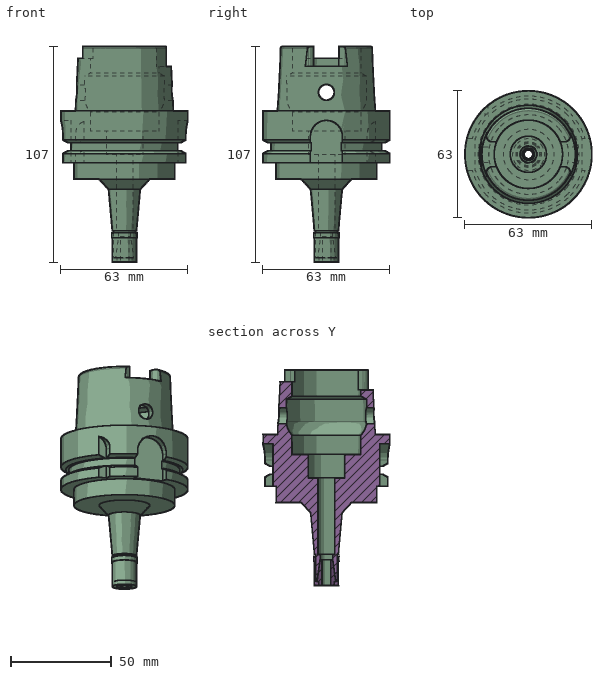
import cadquery as cq
import math


TOTAL_HEIGHT = 107.0
FLANGE_TOP = 75.0
FLANGE_BOTTOM = 49.2
COLLAR_BOTTOM = 41.2
SHOULDER_BOTTOM = 36.2
NOSE_END = 15.5
NUT_TOP = 14.5
NUT_BAND_BOTTOM = 12.2
NUT_LIP = 2.1

SHANK_BASE_DIAMETER = 48.7
SHANK_TAPER = 0.1
SHANK_EDGE_RADIUS = 1.1
FLANGE_DIAMETER = 63.0
COLLAR_DIAMETER = 50.1
SHOULDER_DIAMETER = 25.1
NOSE_ROOT_DIAMETER = 15.8
NOSE_END_DIAMETER = 12.1
NECK_DIAMETER = 11.0

GROOVE_MIDDLE = 57.2
GROOVE_MOUTH = 6.7
GROOVE_SLOPE_HEIGHT = 1.4
GROOVE_SLOPE_DEPTH = 2.5
GROOVE_FLOOR_DIAMETER = 55.1

MOUTH_DIAMETER = 33.9
MOUTH_DEPTH = 13.1
CHAMBER_DIAMETER = 39.6
CHAMBER_ROOF_DROP = 1.6
CHAMBER_WALL_BOTTOM = 81.6
CHAMBER_FOOT_RADIUS = 10.0
MOUTH_FLOOR = 65.1
THREAD_BORE_DIAMETER = 18.0
THREAD_BORE_FLOOR = 53.5
COOLANT_BORE_DIAMETER = 8.2

DRIVE_SLOT_WIDTH = 12.4
DRIVE_SLOT_CORNER_RADIUS = 2.8
DRIVE_SLOT_LUG_REACH = 20.8
DRIVE_SLOT_DEPTHS = {-1: 5.9, 1: 10.0}

CROSS_HOLE_DIAMETER = 7.7
CROSS_HOLE_HEIGHT = 84.2

POCKET_TOP = 70.3
KEY_POCKET_WIDTH = 15.8
KEY_POCKET_FLOOR = 26.5
NOTCH_OFFSET = 20.1
NOTCH_WIDTH = 12.8

NUT_BAND_DIAMETER = 12.7
NUT_DIAMETER = 12.1
COLLET_REAR_DIAMETER = 6.0
COLLET_BORE_DIAMETER = 4.3
COLLET_TOP = 12.8
COLLET_HALF_ANGLE = 8.0
COLLET_FRONT_DIAMETER = COLLET_REAR_DIAMETER + 2 * (COLLET_TOP - NUT_LIP) * math.tan(
    math.radians(COLLET_HALF_ANGLE)
)
COLLET_TIP_DIAMETER = 7.5


def turned(profile):
    """Solid of revolution about Z from (diameter, height) points."""
    points = [(diameter / 2, height) for diameter, height in profile]
    return cq.Workplane("XZ").polyline(points).close().revolve(360, (0, 0), (0, 1))


def cylinder(diameter, bottom, top):
    return cq.Workplane("XY").workplane(offset=bottom).circle(diameter / 2).extrude(top - bottom)


def shank():
    rim_diameter = SHANK_BASE_DIAMETER - SHANK_TAPER * (TOTAL_HEIGHT - FLANGE_TOP)
    cone = turned(
        [(0, FLANGE_TOP), (SHANK_BASE_DIAMETER, FLANGE_TOP), (rim_diameter, TOTAL_HEIGHT), (0, TOTAL_HEIGHT)]
    )
    return cone.faces(">Z").edges().fillet(SHANK_EDGE_RADIUS)


def flange():
    slope_diameter = FLANGE_DIAMETER - 2 * GROOVE_SLOPE_DEPTH
    mouth_top = GROOVE_MIDDLE + GROOVE_MOUTH / 2
    mouth_bottom = GROOVE_MIDDLE - GROOVE_MOUTH / 2
    slot_top = mouth_top - GROOVE_SLOPE_HEIGHT
    slot_bottom = mouth_bottom + GROOVE_SLOPE_HEIGHT
    return turned(
        [
            (0, FLANGE_BOTTOM),
            (FLANGE_DIAMETER, FLANGE_BOTTOM),
            (FLANGE_DIAMETER, mouth_bottom),
            (slope_diameter, slot_bottom),
            (GROOVE_FLOOR_DIAMETER, slot_bottom),
            (GROOVE_FLOOR_DIAMETER, slot_top),
            (slope_diameter, slot_top),
            (FLANGE_DIAMETER, mouth_top),
            (FLANGE_DIAMETER, FLANGE_TOP),
            (0, FLANGE_TOP),
        ]
    )


def nose():
    """Collar, conical shoulder, tapered nose and the neck that carries the nut."""
    return turned(
        [
            (0, FLANGE_BOTTOM),
            (COLLAR_DIAMETER, FLANGE_BOTTOM),
            (COLLAR_DIAMETER, COLLAR_BOTTOM),
            (SHOULDER_DIAMETER, COLLAR_BOTTOM),
            (NOSE_ROOT_DIAMETER, SHOULDER_BOTTOM),
            (NOSE_END_DIAMETER, NOSE_END),
            (NECK_DIAMETER, NOSE_END),
            (NECK_DIAMETER, NUT_LIP),
            (0, NUT_LIP),
        ]
    )


def clamping_chamber():
    """Widened part of the bore, with a sloping roof and a rounded foot that runs into the bore."""
    top = TOTAL_HEIGHT - MOUTH_DEPTH
    bottom = CHAMBER_WALL_BOTTOM - CHAMBER_FOOT_RADIUS
    chamber = turned(
        [
            (0, top),
            (MOUTH_DIAMETER, top),
            (CHAMBER_DIAMETER, top - CHAMBER_ROOF_DROP),
            (CHAMBER_DIAMETER, bottom),
            (0, bottom),
        ]
    )
    return chamber.faces("<Z").edges().fillet(CHAMBER_FOOT_RADIUS)


def holder_bore():
    """Stepped bore: mouth, thread bore, coolant bore and the passage to the collet."""
    steps = turned(
        [
            (0, TOTAL_HEIGHT),
            (MOUTH_DIAMETER, TOTAL_HEIGHT),
            (MOUTH_DIAMETER, MOUTH_FLOOR),
            (THREAD_BORE_DIAMETER, MOUTH_FLOOR),
            (THREAD_BORE_DIAMETER, THREAD_BORE_FLOOR),
            (COOLANT_BORE_DIAMETER, THREAD_BORE_FLOOR),
            (COOLANT_BORE_DIAMETER, NOSE_END),
            (COLLET_REAR_DIAMETER, NOSE_END),
            (COLLET_REAR_DIAMETER, COLLET_TOP),
            (0, COLLET_TOP),
        ]
    )
    return steps.union(clamping_chamber())


def drive_slot(side, depth):
    """Radial slot whose mouth is flared by the rounded corners of the lugs."""
    half_width = DRIVE_SLOT_WIDTH / 2
    flared = half_width + DRIVE_SLOT_CORNER_RADIUS
    lug = DRIVE_SLOT_LUG_REACH
    corner_start = lug - DRIVE_SLOT_CORNER_RADIUS
    bulge = DRIVE_SLOT_CORNER_RADIUS * math.sin(math.radians(45))
    corner_middle = (corner_start + bulge, flared - bulge)
    outside = FLANGE_DIAMETER / 2
    slot = (
        cq.Workplane("XY")
        .workplane(offset=TOTAL_HEIGHT - depth)
        .moveTo(0, 0)
        .lineTo(0, half_width)
        .lineTo(corner_start, half_width)
        .threePointArc(corner_middle, (lug, flared))
        .lineTo(lug, outside)
        .lineTo(outside, outside)
        .lineTo(outside, 0)
        .close()
        .extrude(depth)
    )
    slot = slot.union(slot.mirror("XZ"))
    return slot if side > 0 else slot.mirror("YZ")


def round_topped_pocket(floor, middle, width):
    """Cutter on the +X side, from x = floor outwards, centred on y = middle, open below the flange."""
    radius = width / 2
    return (
        cq.Workplane("YZ")
        .workplane(offset=floor)
        .moveTo(middle - radius, FLANGE_BOTTOM)
        .lineTo(middle - radius, POCKET_TOP - radius)
        .threePointArc((middle, POCKET_TOP), (middle + radius, POCKET_TOP - radius))
        .lineTo(middle + radius, FLANGE_BOTTOM)
        .close()
        .extrude(FLANGE_DIAMETER / 2 - floor)
    )


def cross_hole():
    return (
        cq.Workplane("YZ")
        .center(0, CROSS_HOLE_HEIGHT)
        .circle(CROSS_HOLE_DIAMETER / 2)
        .extrude(SHANK_BASE_DIAMETER, both=True)
    )


def collet_envelope():
    return turned(
        [
            (0, 0),
            (COLLET_TIP_DIAMETER, 0),
            (COLLET_TIP_DIAMETER, NUT_LIP),
            (COLLET_FRONT_DIAMETER, NUT_LIP),
            (COLLET_REAR_DIAMETER, COLLET_TOP),
            (0, COLLET_TOP),
        ]
    )


def make_holder():
    body = shank().union(flange()).union(nose())
    body = body.cut(holder_bore()).cut(collet_envelope()).cut(cross_hole())
    for side, depth in DRIVE_SLOT_DEPTHS.items():
        body = body.cut(drive_slot(side, depth))
    key_pocket = round_topped_pocket(KEY_POCKET_FLOOR, 0, KEY_POCKET_WIDTH)
    notch = round_topped_pocket(NOTCH_OFFSET, NOTCH_OFFSET + NOTCH_WIDTH / 2, NOTCH_WIDTH)
    return body.cut(key_pocket).cut(key_pocket.mirror("YZ")).cut(notch.mirror("YZ"))


def make_nut():
    """Nut with a raised band, screwed over the neck and closed by a lip around the collet."""
    outside = cylinder(NUT_DIAMETER, 0, NUT_TOP).union(
        cylinder(NUT_BAND_DIAMETER, NUT_BAND_BOTTOM, NUT_TOP)
    )
    neck_bore = cylinder(NECK_DIAMETER, NUT_LIP, NUT_TOP)
    lip_bore = cylinder(COLLET_TIP_DIAMETER, 0, NUT_LIP)
    return outside.cut(neck_bore).cut(lip_bore)


def make_collet():
    return collet_envelope().cut(cylinder(COLLET_BORE_DIAMETER, 0, COLLET_TOP))


holder = make_holder().solids()
nut = make_nut().solids()
collet = make_collet().solids()
result = cq.Compound.makeCompound([holder.val(), nut.val(), collet.val()])